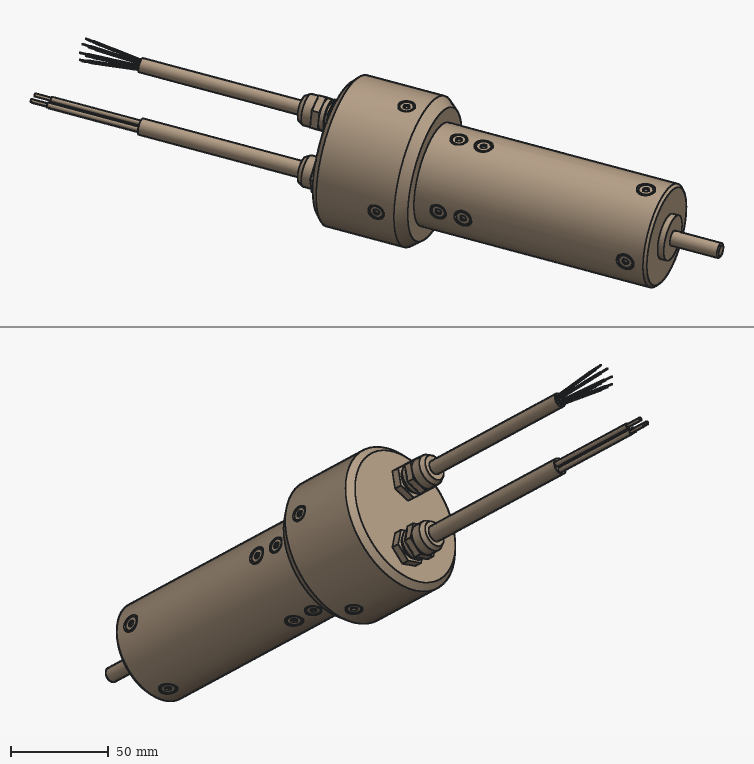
import cadquery as cq
import math


housing_dia = 80.0
housing_start_x = 170.5
housing_end_x = 222.8
housing_rear_chamfer = 3.5
housing_front_chamfer_length = 5.7
housing_front_chamfer_depth = 4.5

tube_dia = 55.0
tube_end_x = 351.5
tube_chamfer = 1.5

pilot_dia = 24.0
pilot_end_x = 354.8

shaft_dia = 8.0
shaft_end_x = 381.5
shaft_chamfer = 0.8

screws_per_row = 4
screw_recess_depth = 2.3
screw_head_drop = 0.5
socket_dia = 3.3
socket_depth = 1.0
small_recess_dia = 8.8
small_head_dia = 7.2
large_recess_dia = 9.5
large_head_dia = 7.5
housing_screw_x = 207.0
tube_small_screw_x = 236.0
tube_large_screw_xs = (250.0, 340.0)

gland_offset = 20.2
gland_start_x = 149.5
gland_dia = 16.8
gland_nose_dia = 13.7
gland_nose_length = 2.5
gland_neck_dia = 14.0
gland_neck_start_x = 164.5
hex_across_flats = 17.0
hex_corner_angle = 42.0
cap_hex_start_x = 157.5
cap_hex_length = 4.2
base_hex_start_x = 166.5
base_hex_length = housing_start_x - base_hex_start_x

jacket_start_x = 60.0
signal_jacket_dia = 7.5
power_jacket_dia = 8.8

power_wire_dia = 2.8
power_conductor_dia = 1.8
power_strip_length = 9.0
power_wire_pitch = 2.48

signal_wire_count = 8
signal_wire_dia = 1.0
signal_conductor_dia = 0.5
signal_tip_x = 28.2
signal_strip_length = 4.5
signal_root_radius = 2.3
signal_tip_radius = 6.0

overlap = 0.8


def rod(start_x, end_x, dia, y=0.0, z=0.0):
    """Round bar parallel to X."""
    section = cq.Workplane("YZ", origin=(start_x, y, z)).circle(dia / 2)
    return section.extrude(end_x - start_x)


def slanted_rod(start, end, dia):
    """Round bar between two points."""
    direction = end - start
    return cq.Workplane(cq.Plane(start, normal=direction)).circle(dia / 2).extrude(direction.Length)


def motor_body():
    """Turned outline of housing, tube, pilot and shaft, revolved about X."""
    housing_r = housing_dia / 2
    tube_r = tube_dia / 2
    shaft_r = shaft_dia / 2
    outline = (
        cq.Workplane("XY")
        .moveTo(housing_start_x, 0)
        .lineTo(housing_start_x, housing_r - housing_rear_chamfer)
        .lineTo(housing_start_x + housing_rear_chamfer, housing_r)
        .lineTo(housing_end_x - housing_front_chamfer_length, housing_r)
        .lineTo(housing_end_x, housing_r - housing_front_chamfer_depth)
        .lineTo(housing_end_x, tube_r)
        .lineTo(tube_end_x - tube_chamfer, tube_r)
        .lineTo(tube_end_x, tube_r - tube_chamfer)
        .lineTo(tube_end_x, pilot_dia / 2)
        .lineTo(pilot_end_x, pilot_dia / 2)
        .lineTo(pilot_end_x, shaft_r)
        .lineTo(shaft_end_x - shaft_chamfer, shaft_r)
        .lineTo(shaft_end_x, shaft_r - shaft_chamfer)
        .lineTo(shaft_end_x, 0)
        .close()
    )
    return outline.revolve(360, (0, 0, 0), (1, 0, 0))


def screw_cutter(x, surface_dia, recess_dia, head_dia):
    """Material to remove around and inside one screw head on the +Z side."""
    surface_z = surface_dia / 2
    head_z = surface_z - screw_head_drop
    floor = cq.Workplane("XY", origin=(x, 0, surface_z - screw_recess_depth))
    recess = floor.circle(recess_dia / 2).extrude(screw_recess_depth + overlap)
    head = floor.circle(head_dia / 2).extrude(screw_recess_depth - screw_head_drop)
    socket = cq.Workplane("XY", origin=(x, 0, head_z)).circle(socket_dia / 2).extrude(-socket_depth)
    return recess.cut(head).union(socket)


def cut_screw_row(body, x, surface_dia, recess_dia, head_dia):
    """Ring of equally spaced screws at one place along the body."""
    cutter = screw_cutter(x, surface_dia, recess_dia, head_dia)
    for index in range(screws_per_row):
        body = body.cut(cutter.rotate((0, 0, 0), (1, 0, 0), index * 360 / screws_per_row))
    return body


def hex_nut(start_x, length, z, corner_angle):
    """Hexagon along X with one corner turned by corner_angle from the Y axis."""
    corner_dia = hex_across_flats / math.cos(math.pi / 6)
    nut = cq.Workplane("YZ", origin=(start_x, 0, z)).polygon(6, corner_dia).extrude(length)
    return nut.rotate((0, 0, z), (1, 0, z), corner_angle)


def gland(z, corner_angle):
    """Cable gland with a tapered nose, two hexagons and a neck between them."""
    nose = (
        cq.Workplane("YZ", origin=(gland_start_x, 0, z))
        .circle(gland_nose_dia / 2)
        .workplane(offset=gland_nose_length)
        .circle(gland_dia / 2)
        .loft()
    )
    return (
        rod(gland_start_x + gland_nose_length, gland_neck_start_x, gland_dia, z=z)
        .union(nose)
        .union(rod(gland_neck_start_x, housing_start_x + overlap, gland_neck_dia, z=z))
        .union(hex_nut(cap_hex_start_x, cap_hex_length, z, corner_angle))
        .union(hex_nut(base_hex_start_x, base_hex_length, z, corner_angle))
    )


def power_cable(z):
    """Thick cable with three straight wires: two side by side and one below them."""
    cable = rod(jacket_start_x, gland_start_x + overlap, power_jacket_dia, z=z)
    wire_offsets = ((-power_wire_pitch, 0), (power_wire_pitch, 0), (0, -power_wire_pitch))
    for y, dz in wire_offsets:
        insulation = rod(power_strip_length, jacket_start_x + overlap, power_wire_dia, y, z + dz)
        conductor = rod(0, power_strip_length + overlap, power_conductor_dia, y, z + dz)
        cable = cable.union(insulation).union(conductor)
    return cable


def signal_cable(z):
    """Thin cable with a ring of fine wires that spread out toward their tips."""
    cable = rod(jacket_start_x, gland_start_x + overlap, signal_jacket_dia, z=z)
    step = 2 * math.pi / signal_wire_count
    for index in range(signal_wire_count):
        angle = (index + 0.5) * step
        radial = cq.Vector(0, math.cos(angle), math.sin(angle))
        root = cq.Vector(jacket_start_x + overlap, 0, z) + radial * signal_root_radius
        tip = cq.Vector(signal_tip_x, 0, z) + radial * signal_tip_radius
        along = (root - tip).normalized()
        insulation_start = tip + along * signal_strip_length
        insulation = slanted_rod(insulation_start, root, signal_wire_dia)
        conductor = slanted_rod(tip, insulation_start + along * overlap, signal_conductor_dia)
        cable = cable.union(insulation).union(conductor)
    return cable


body = motor_body()
body = cut_screw_row(body, housing_screw_x, housing_dia, small_recess_dia, small_head_dia)
body = cut_screw_row(body, tube_small_screw_x, tube_dia, small_recess_dia, small_head_dia)
for screw_x in tube_large_screw_xs:
    body = cut_screw_row(body, screw_x, tube_dia, large_recess_dia, large_head_dia)

result = (
    body
    .union(gland(gland_offset, -hex_corner_angle))
    .union(gland(-gland_offset, hex_corner_angle))
    .union(signal_cable(gland_offset))
    .union(power_cable(-gland_offset))
)